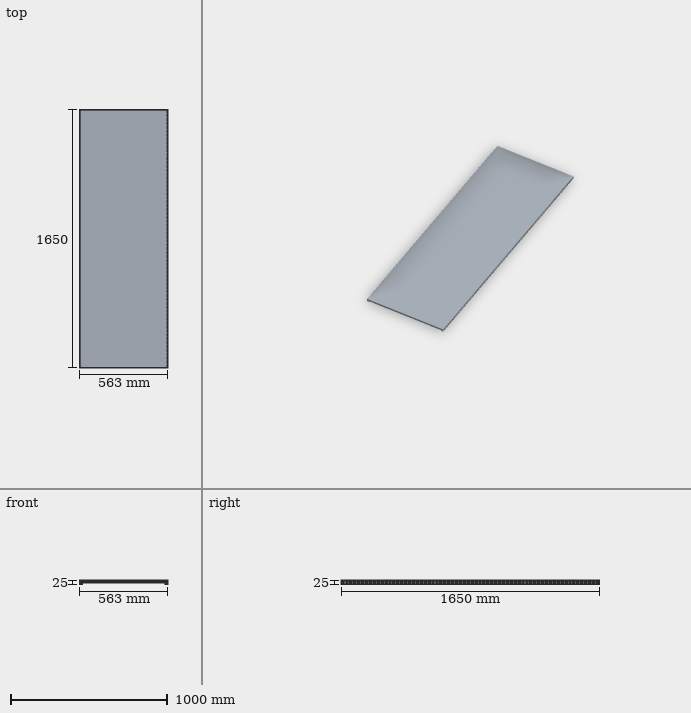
import cadquery as cq

width = 563.0
length = 1650
height = 25.0

sheet = 2.0
bend_radius = 3.0
inner_radius = bend_radius - sheet
clear_width = width - 2 * sheet

lip_width = 16.0
lip_setback = 2.0

end_flange_height = 15.0

slot_count = 66
slot_pitch = length / slot_count
slot_width = 8.9
slot_height = 16.0


def rounded_bar(axis, size_x, size_y, size_z, radius):
    """Block centred on the origin, with the corners along one axis rounded."""
    return cq.Workplane("XY").box(size_x, size_y, size_z).edges("|" + axis).fillet(radius)


def side_channel():
    """Top sheet with both side walls folded down and their lips folded inward."""
    outside = rounded_bar("Y", width, length, height, bend_radius)
    inside = rounded_bar("Y", clear_width, length, height - 2 * sheet, inner_radius)
    mouth = (
        cq.Workplane("XY")
        .box(width - 2 * lip_width, length, height / 2)
        .translate((0, 0, -height / 4))
    )
    return outside.cut(inside).cut(mouth)


def end_flanges():
    """Flanges folded down at both ends, trimmed to the rounded side folds."""
    outside = rounded_bar("X", clear_width, length, height, bend_radius)
    inside = rounded_bar("X", clear_width, length - 2 * sheet, height - 2 * sheet, inner_radius)
    below = cq.Workplane("XY").box(width, length, height).translate((0, 0, -end_flange_height))
    side_folds = rounded_bar("Y", width, length, height, bend_radius)
    return outside.cut(inside).cut(below).intersect(side_folds)


def top_end_strips():
    """Square ends of the flat top, removed to make way for the end folds."""
    flat_width = width - 2 * bend_radius
    return (
        cq.Workplane("XY")
        .rarray(16, length - bend_radius, 1, 2)
        .rect(flat_width, bend_radius)
        .extrude(height / 2)
    )


def lip_ends():
    """Ends of the lips between the side walls, removed to leave the setback."""
    return (
        cq.Workplane("XY", origin=(0, 0, -height / 2))
        .rarray(16, length - lip_setback, 1, 2)
        .rect(clear_width, lip_setback)
        .extrude(bend_radius)
    )


def side_slots():
    """Upright rectangular slots passing through both side walls."""
    return (
        cq.Workplane("YZ")
        .rarray(slot_pitch, 16, slot_count, 1)
        .rect(slot_width, slot_height)
        .extrude(width / 2, both=True)
    )


panel = side_channel().cut(top_end_strips()).cut(lip_ends()).cut(side_slots())
result = panel.union(end_flanges())